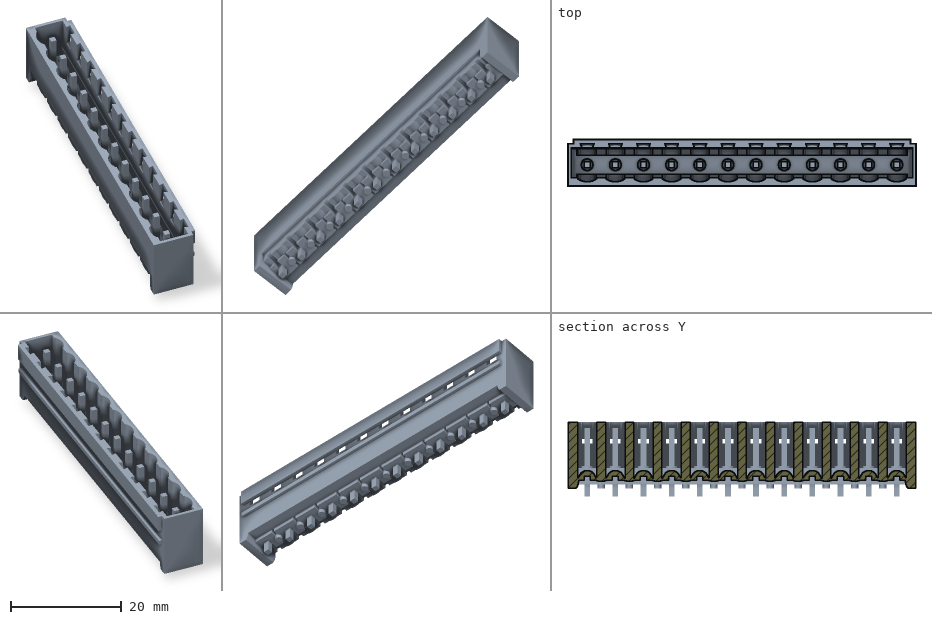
import cadquery as cq
import math


PIN_COUNT = 12
PITCH = 5.08
LENGTH = 62.86
BODY_DEPTH = 7.68
TOP_Z = 13.5
FOOT_Z = 1.5

END_WALL = 0.6
FRONT_WALL = 1.5
BACK_WALL = 0.78
FLOOR_Z = 5.2
FLOOR_BLOCK_HALF_DEPTH = 1.7
FLOOR_BLOCK_BOTTOM_Z = 2.2
BACK_LEDGE_DEPTH = 0.19
BACK_LEDGE_Z = 7.0

TOTAL_DEPTH = 8.43
RAIL_BOTTOM_Z = 10.43
RAIL_END_INSET = 1.0
RIB_DEPTH = 0.6
RIB_BOTTOM_Z = 7.4
RIB_TOP_Z = 8.25

SLOT_INNER_WIDTH = 1.95
SLOT_OUTER_WIDTH = 2.4
SLOT_BOTTOM_Z = 9.58

GROOVE_HALF_WIDTH = 1.7
GROOVE_SIDE = 0.15
GROOVE_BOTTOM_Y = 0.77

STRIP_END_INSET = 1.6
STRIP_Z = 3.4
ARCH_RADIUS = 1.55
ARCH_HALF_WIDTH = 1.25
ARCH_FOOT_HALF_WIDTH = 1.67
ARCH_SIDE_RISE = 0.72

FOOT_WIDTH = 1.97
FOOT_TIP_WIDTH = 1.5
FOOT_ROUND_HEIGHT = 1.25
RECESS_DEPTH = 0.55
RECESS_TOP_Z = 5.15
WALL_BOTTOM_Z = 2.93
WALL_DIP = 0.22
WALL_DIP_HALF_WIDTH = 1.0
BLOCK_GAP = 0.57
STANDOFF_DIAMETER = 1.35

PIN_WIDTH = 1.03
PIN_TOP_Z = 12.4
PIN_NOTCH_TOP_Z = 3.68
PIN_COLLAR_DIAMETER = 2.1
PIN_COLLAR_HEIGHT = 0.3

PIN_Y = 3.85
BACK_INNER_Y = BODY_DEPTH - BACK_WALL
BLOCK_FRONT_Y = PIN_Y - FLOOR_BLOCK_HALF_DEPTH
BLOCK_BACK_Y = PIN_Y + FLOOR_BLOCK_HALF_DEPTH
LEDGE_Y = BACK_INNER_Y - BACK_LEDGE_DEPTH
PIN_XS = [(i - (PIN_COUNT - 1) / 2) * PITCH for i in range(PIN_COUNT)]
MID_XS = [x + PITCH / 2 for x in PIN_XS[:-1]]


def block(x0, x1, y0, y1, z0, z1):
    """Box spanning the given limits."""
    return cq.Workplane("XY").box(x1 - x0, y1 - y0, z1 - z0, centered=False).translate((x0, y0, z0))


def centred_block(half_length, y0, y1, z0, z1):
    """Box symmetric about X = 0."""
    return block(-half_length, half_length, y0, y1, z0, z1)


def group(parts):
    """Collect separate shapes that do not touch so they can be cut or joined in one step."""
    return cq.Workplane(cq.Compound.makeCompound([part.val() for part in parts]))


def extrude_along_y(profile, y0, y1):
    """Extrude a closed XZ profile from y0 to y1."""
    return profile.extrude(y0 - y1).translate((0, y0, 0))


def shroud():
    """Open-topped box with the rail and rib on its back."""
    body = centred_block(LENGTH / 2, 0, BODY_DEPTH, FOOT_Z, TOP_Z)
    rail_half = LENGTH / 2 - RAIL_END_INSET
    body = body.union(centred_block(rail_half, BACK_INNER_Y, TOTAL_DEPTH, RAIL_BOTTOM_Z, TOP_Z))
    rib_y = BODY_DEPTH + RIB_DEPTH
    body = body.union(centred_block(rail_half, BACK_INNER_Y, rib_y, RIB_BOTTOM_Z, RIB_TOP_Z))
    cavity_half = LENGTH / 2 - END_WALL
    body = body.cut(centred_block(cavity_half, FRONT_WALL, LEDGE_Y, FLOOR_Z, TOP_Z))
    return body.cut(centred_block(cavity_half, FRONT_WALL, BACK_INNER_Y, BACK_LEDGE_Z, TOP_Z))


def wall_groove(x):
    """Upright groove with a rounded bottom in the inner face of the front wall."""
    side_y = FRONT_WALL - GROOVE_SIDE
    return (
        cq.Workplane("XY")
        .workplane(offset=STRIP_Z)
        .moveTo(x - GROOVE_HALF_WIDTH, BLOCK_FRONT_Y)
        .lineTo(x - GROOVE_HALF_WIDTH, side_y)
        .threePointArc((x, GROOVE_BOTTOM_Y), (x + GROOVE_HALF_WIDTH, side_y))
        .lineTo(x + GROOVE_HALF_WIDTH, BLOCK_FRONT_Y)
        .close()
        .extrude(TOP_Z - STRIP_Z)
    )


def latch_slot(x):
    """Dovetail slot through the back wall, widening outwards behind the rail."""
    return (
        cq.Workplane("XY")
        .workplane(offset=SLOT_BOTTOM_Z)
        .moveTo(x - SLOT_INNER_WIDTH / 2, BACK_INNER_Y)
        .lineTo(x + SLOT_INNER_WIDTH / 2, BACK_INNER_Y)
        .lineTo(x + SLOT_OUTER_WIDTH / 2, BODY_DEPTH)
        .lineTo(x - SLOT_OUTER_WIDTH / 2, BODY_DEPTH)
        .close()
        .extrude(TOP_Z - SLOT_BOTTOM_Z)
    )


def arch(x, y0, y1):
    """Convex arch with steep straight sides standing on a sunken strip."""
    shoulder_z = STRIP_Z + ARCH_SIDE_RISE
    crown_rise = ARCH_RADIUS - math.sqrt(ARCH_RADIUS**2 - ARCH_HALF_WIDTH**2)
    profile = (
        cq.Workplane("XZ")
        .moveTo(x - ARCH_FOOT_HALF_WIDTH, STRIP_Z)
        .lineTo(x - ARCH_HALF_WIDTH, shoulder_z)
        .threePointArc((x, shoulder_z + crown_rise), (x + ARCH_HALF_WIDTH, shoulder_z))
        .lineTo(x + ARCH_FOOT_HALF_WIDTH, STRIP_Z)
        .close()
    )
    return extrude_along_y(profile, y0, y1)


def add_strips(body):
    """Sink a strip on each side of the floor block and stand the arches in them."""
    half = LENGTH / 2 - STRIP_END_INSET
    body = body.cut(centred_block(half, FRONT_WALL, BLOCK_FRONT_Y, STRIP_Z, FLOOR_Z))
    body = body.cut(centred_block(half, BLOCK_BACK_Y, LEDGE_Y, STRIP_Z, FLOOR_Z))
    body = body.cut(group([wall_groove(x) for x in PIN_XS]))
    body = body.cut(group([latch_slot(x) for x in PIN_XS]))
    body = body.union(group([arch(x, RECESS_DEPTH, BLOCK_FRONT_Y) for x in PIN_XS]))
    return body.union(group([arch(x, BLOCK_BACK_Y, LEDGE_Y) for x in PIN_XS]))


def foot_clearance():
    """Opening between the two end feet, following their rounded tips."""
    inner = LENGTH / 2 - FOOT_WIDTH
    tip = LENGTH / 2 - FOOT_TIP_WIDTH
    step = tip - inner
    radius = (step**2 + FOOT_ROUND_HEIGHT**2) / (2 * step)
    round_top_z = FOOT_Z + FOOT_ROUND_HEIGHT
    half_angle = math.asin(FOOT_ROUND_HEIGHT / radius) / 2
    mid_x = inner + radius * (1 - math.cos(half_angle))
    mid_z = round_top_z - radius * math.sin(half_angle)
    profile = (
        cq.Workplane("XZ")
        .moveTo(-tip, FOOT_Z)
        .threePointArc((-mid_x, mid_z), (-inner, round_top_z))
        .lineTo(-inner, WALL_BOTTOM_Z)
        .lineTo(inner, WALL_BOTTOM_Z)
        .lineTo(inner, round_top_z)
        .threePointArc((mid_x, mid_z), (tip, FOOT_Z))
        .close()
    )
    return extrude_along_y(profile, 0, BODY_DEPTH)


def wall_dip(x, y0, y1):
    """Shallow bulge on the bottom edge of the front wall, midway between pins."""
    profile = (
        cq.Workplane("XZ")
        .moveTo(x - WALL_DIP_HALF_WIDTH, WALL_BOTTOM_Z)
        .threePointArc((x, WALL_BOTTOM_Z - WALL_DIP), (x + WALL_DIP_HALF_WIDTH, WALL_BOTTOM_Z))
        .close()
    )
    return extrude_along_y(profile, y0, y1)


def standoff(x):
    """Round foot under the gap between two floor blocks."""
    cylinder = cq.Workplane("XY").circle(STANDOFF_DIAMETER / 2).extrude(WALL_BOTTOM_Z - FOOT_Z)
    return cylinder.translate((x, PIN_Y, FOOT_Z))


def block_gap(x):
    """Gap that splits the lower part of the floor block midway between two pins."""
    half = BLOCK_GAP / 2
    return block(x - half, x + half, BLOCK_FRONT_Y, BLOCK_BACK_Y, FOOT_Z, WALL_BOTTOM_Z)


def shape_underside(body):
    """Feet at the ends, raised long walls, split floor block and standoffs."""
    body = body.cut(foot_clearance())
    inner = LENGTH / 2 - FOOT_WIDTH
    tip = LENGTH / 2 - FOOT_TIP_WIDTH
    floor_block = centred_block(tip, BLOCK_FRONT_Y, BLOCK_BACK_Y, FLOOR_BLOCK_BOTTOM_Z, WALL_BOTTOM_Z)
    body = body.union(floor_block)
    body = body.cut(centred_block(inner, 0, RECESS_DEPTH, WALL_BOTTOM_Z, RECESS_TOP_Z))
    body = body.cut(group([block_gap(x) for x in MID_XS]))
    body = body.union(group([wall_dip(x, RECESS_DEPTH, BLOCK_FRONT_Y) for x in MID_XS]))
    return body.union(group([standoff(x) for x in MID_XS]))


def pin_notch(x):
    """Notch from the front face to the pin, as wide as the pin."""
    half = PIN_WIDTH / 2
    return block(x - half, x + half, 0, PIN_Y, FOOT_Z, PIN_NOTCH_TOP_Z)


def pin(x):
    """Square pin running from the solder tip up into the cavity."""
    half = PIN_WIDTH / 2
    return block(x - half, x + half, PIN_Y - half, PIN_Y + half, 0, PIN_TOP_Z)


def pin_collar(x):
    """Round collar on the floor around a pin."""
    collar = cq.Workplane("XY").circle(PIN_COLLAR_DIAMETER / 2).extrude(PIN_COLLAR_HEIGHT)
    return collar.translate((x, PIN_Y, FLOOR_Z))


def add_pins(body):
    """Square pins with round collars, and the notches in front of their tails."""
    body = body.cut(group([pin_notch(x) for x in PIN_XS]))
    body = body.union(group([pin_collar(x) for x in PIN_XS]))
    return body.union(group([pin(x) for x in PIN_XS]))


result = add_pins(shape_underside(add_strips(shroud())))